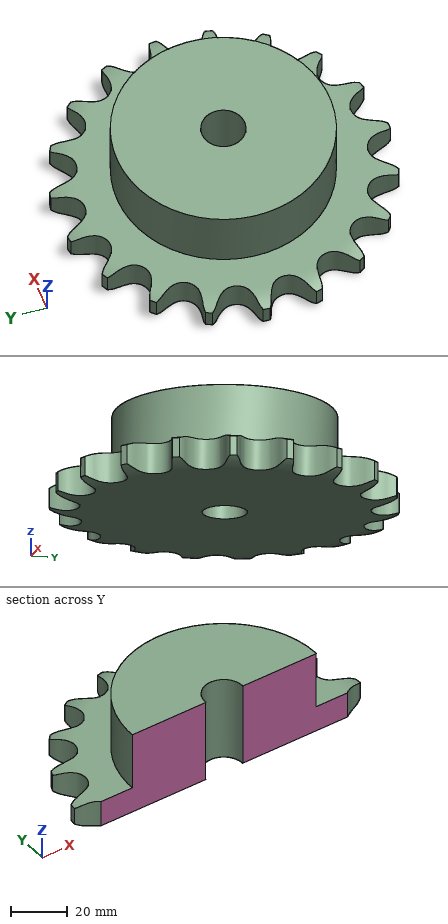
import cadquery as cq
import math

TEETH = 19
CHAIN_PITCH = 19.05
ROLLER_DIAMETER = 12.07
TIP_RADIUS = 62.1
PLATE_WIDTH = 11.1
OVERALL_HEIGHT = 35.0
HUB_DIAMETER = 80.0
BORE_DIAMETER = 16.0
BEVEL_START_RADIUS = 53.55
BEVEL_ARC_RADIUS = 19.05
CUT_MARGIN = 1.0

PITCH_RADIUS = CHAIN_PITCH / (2 * math.sin(math.pi / TEETH))
TOOTH_STEP = 360 / TEETH
SEAT_CLEARANCE = 0.038
SEAT_RADIUS = 0.5025 * ROLLER_DIAMETER + SEAT_CLEARANCE
SEAT_ANGLE = 90 - (35 + 60 / TEETH)
WORKING_RADIUS = 1.3025 * ROLLER_DIAMETER + SEAT_CLEARANCE
WORKING_ANGLE = 18 - 56 / TEETH
TOPPING_ANGLE = 17 - 64 / TEETH


def cosd(degrees):
    return math.cos(math.radians(degrees))


def sind(degrees):
    return math.sin(math.radians(degrees))


FLANK_LENGTH = ROLLER_DIAMETER * (1.4 * sind(TOPPING_ANGLE) - 0.8 * sind(WORKING_ANGLE))
TOPPING_RADIUS = (
    ROLLER_DIAMETER * (0.8 * cosd(WORKING_ANGLE) + 1.4 * cosd(TOPPING_ANGLE) - 1.3025) - SEAT_CLEARANCE
)


def polar(center, radius, degrees):
    """Point at a radius and angle from a center."""
    return (center[0] + radius * cosd(degrees), center[1] + radius * sind(degrees))


def topping_end_angle(center):
    """Angle about the topping center at which its arc meets the tip circle."""
    distance = math.hypot(*center)
    toward_axis = math.degrees(math.atan2(-center[1], -center[0]))
    cosine = (distance**2 + TOPPING_RADIUS**2 - TIP_RADIUS**2) / (2 * distance * TOPPING_RADIUS)
    return toward_axis + math.degrees(math.acos(cosine))


def half_gap_points():
    """Points up the left side of a tooth gap centred on +Y, from its bottom to the tip circle."""
    seat_center = (0, PITCH_RADIUS)
    seat_end_angle = 270 - SEAT_ANGLE
    bottom = polar(seat_center, SEAT_RADIUS, 270)
    seat_mid = polar(seat_center, SEAT_RADIUS, 270 - SEAT_ANGLE / 2)
    seat_end = polar(seat_center, SEAT_RADIUS, seat_end_angle)

    working_center = polar(seat_end, WORKING_RADIUS, seat_end_angle - 180)
    flank_normal = seat_end_angle - WORKING_ANGLE
    working_mid = polar(working_center, WORKING_RADIUS, seat_end_angle - WORKING_ANGLE / 2)
    working_end = polar(working_center, WORKING_RADIUS, flank_normal)

    flank_end = polar(working_end, FLANK_LENGTH, flank_normal - 90)
    topping_center = polar(flank_end, TOPPING_RADIUS, flank_normal)
    start_angle = flank_normal - 180
    end_angle = topping_end_angle(topping_center)
    topping_mid = polar(topping_center, TOPPING_RADIUS, (start_angle + end_angle) / 2)
    tip = polar(topping_center, TOPPING_RADIUS, end_angle)
    return bottom, seat_mid, seat_end, working_mid, working_end, flank_end, topping_mid, tip


def mirrored(point):
    return (-point[0], point[1])


def tooth_gap():
    """Cutting body for one tooth gap, centred on +Y."""
    left = half_gap_points()
    right = [mirrored(point) for point in left]
    bottom, seat_mid, seat_end, working_mid, working_end, flank_end, topping_mid, tip = left
    _, seat_mid_r, seat_end_r, working_mid_r, working_end_r, flank_end_r, topping_mid_r, tip_r = right
    outer_y = TIP_RADIUS + CUT_MARGIN
    return (
        cq.Workplane("XY")
        .moveTo(*bottom)
        .threePointArc(seat_mid, seat_end)
        .threePointArc(working_mid, working_end)
        .lineTo(*flank_end)
        .threePointArc(topping_mid, tip)
        .lineTo(tip[0], outer_y)
        .lineTo(tip_r[0], outer_y)
        .lineTo(*tip_r)
        .threePointArc(topping_mid_r, flank_end_r)
        .lineTo(*working_end_r)
        .threePointArc(working_mid_r, seat_end_r)
        .threePointArc(seat_mid_r, bottom)
        .close()
        .extrude(PLATE_WIDTH)
    )


def bevel_drop(reach):
    """Axial drop of the tooth side at a radial reach beyond the flat plate face."""
    return BEVEL_ARC_RADIUS - math.sqrt(BEVEL_ARC_RADIUS**2 - reach**2)


def plate_blank():
    """Toothless disc whose rim is rounded on both sides, with its bottom face at Z = 0."""
    reach = TIP_RADIUS - BEVEL_START_RADIUS
    tip_drop = bevel_drop(reach)
    mid_drop = bevel_drop(reach / 2)
    mid_radius = BEVEL_START_RADIUS + reach / 2
    return (
        cq.Workplane("XZ")
        .lineTo(BEVEL_START_RADIUS, 0)
        .threePointArc((mid_radius, mid_drop), (TIP_RADIUS, tip_drop))
        .lineTo(TIP_RADIUS, PLATE_WIDTH - tip_drop)
        .threePointArc((mid_radius, PLATE_WIDTH - mid_drop), (BEVEL_START_RADIUS, PLATE_WIDTH))
        .lineTo(0, PLATE_WIDTH)
        .close()
        .revolve(360, (0, 0, 0), (0, 1, 0))
    )


def toothed_plate():
    plate = plate_blank()
    gap = tooth_gap()
    for index in range(TEETH):
        plate = plate.cut(gap.rotate((0, 0, 0), (0, 0, 1), index * TOOTH_STEP))
    return plate


def hub():
    return cq.Workplane("XY").circle(HUB_DIAMETER / 2).extrude(OVERALL_HEIGHT)


def bore():
    return cq.Workplane("XY").circle(BORE_DIAMETER / 2).extrude(OVERALL_HEIGHT)


result = toothed_plate().union(hub()).cut(bore())